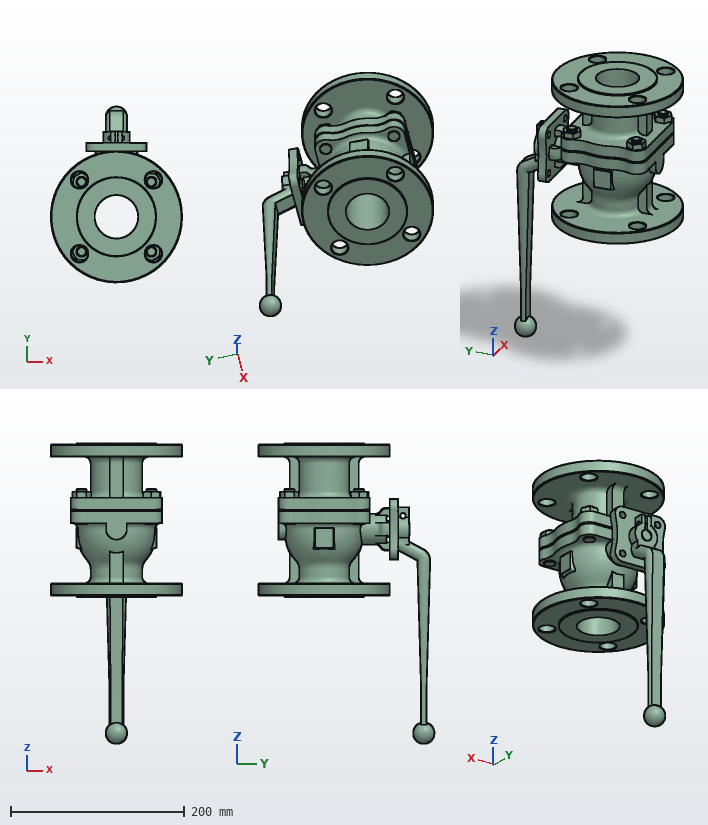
import cadquery as cq
import math


overall_height = 347.5
face_to_face = 178.0
top_z = 99.5
bottom_z = top_z - face_to_face
bore_diameter = 50.0

flange_diameter = 152.0
flange_thickness = 16.0
flange_edge_chamfer = 1.0
raised_face_diameter = 92.0
raised_face_height = 1.6
raised_face_chamfer = 0.7
flange_hole_diameter = 19.0
flange_hole_chamfer = 0.75
flange_bolt_circle = 120.65
flange_hole_count = 4

pipe_diameter = 60.0
pipe_radius = pipe_diameter / 2
pipe_fillet = 7.0
rib_width = 16.0
rib_reach = 40.0

joint_half = 52.8
joint_corner_radius = 12.5
joint_blend_radius = 30.0
joint_thickness = 13.75
joint_gap = 2.0
cap_length = 63.0
cap_joint_top = top_z - cap_length
gap_top = cap_joint_top - joint_thickness
body_joint_top = gap_top - joint_gap
body_joint_bottom = body_joint_top - joint_thickness

bolt_diameter = 12.0
bolt_offset = joint_half - joint_corner_radius
bolt_projection = 10.0
nut_height = 7.0
nut_across_corners = 22.0
nut_chamfer = 1.0
bolt_end_diameter = 13.5
bolt_end_projection = 1.5

shell_radius = 45.4
shell_centre_z = -5.8
shell_blend_radius = 13.5
shell_top_fillet = 6.0

pad_reach = 46.4
pad_width = 21.0
pad_height = 22.5
pad_centre_z = -10.0
pad_corner_radius = 2.0
pad_depth = 10.0
pad_draft = 19.0
tab_radius = 12.0

stem_neck_diameter = 36.0
stem_neck_end_y = 72.0
stem_diameter = 19.0
stem_end_diameter = 13.5
stem_end_y = 99.0
plate_half = 35.0
plate_corner_radius = 10.5
plate_blend_radius = 90.0
plate_start_y = 75.5
plate_thickness = 10.0
plate_end_y = plate_start_y + plate_thickness
plate_hole_diameter = 8.0
plate_hole_offset = plate_half - plate_corner_radius

web_width = 15.0
web_outer_radius = 24.7
web_inner_radius = 16.7
web_length = 15.7
web_flat_length = 5.0

hub_radius = 15.5
hub_length = 12.5
ear_half_width = 6.7
ear_top_z = 25.4
hub_skirt_half_width = 12.0
hub_skirt_depth = 18.0
clamp_slit_width = 3.2
clamp_hole_diameter = 6.2
clamp_hole_y = 91.0
clamp_hole_z = 15.5
arm_y = 115.0
arm_width = 24.8
arm_flat_width = 15.8
arm_thickness = 15.0
arm_tilt = 28.0
arm_top_z = -36.3
bar_width = 16.4
bar_flat_width = 13.2
bar_thickness = 6.5
bar_top_z = -186.0
knob_diameter = 25.0
lever_drop = overall_height - top_z
knob_z = knob_diameter / 2 - lever_drop


def cylinder_z(diameter, z_low, z_high):
    """Round bar along Z on the bore axis."""
    return cq.Workplane("XY").workplane(offset=z_low).circle(diameter / 2).extrude(z_high - z_low)


def cylinder_y(diameter, y_start, y_end):
    """Round bar along Y on the stem axis."""
    plane = cq.Workplane("XZ", origin=(0, y_start, 0))
    return plane.circle(diameter / 2).extrude(y_start - y_end)


def joint_side():
    """Arcs up the +X side of a joint flange: a round belly about the bore blends into both lobes."""
    corner = joint_half - joint_corner_radius
    lobe_distance = corner * math.sqrt(2)
    belly_reach = joint_half + joint_blend_radius
    lobe_reach = joint_corner_radius + joint_blend_radius
    cosine = (belly_reach**2 + lobe_distance**2 - lobe_reach**2) / (2 * belly_reach * lobe_distance)
    blend_angle = math.pi / 4 - math.acos(cosine)
    blend_x = belly_reach * math.cos(blend_angle)
    blend_y = belly_reach * math.sin(blend_angle)
    belly_x = joint_half * math.cos(blend_angle)
    belly_y = joint_half * math.sin(blend_angle)
    lobe_share = joint_corner_radius / lobe_reach
    lobe_x = corner + lobe_share * (blend_x - corner)
    lobe_y = corner + lobe_share * (blend_y - corner)
    middle_angle = (math.atan2(belly_y - blend_y, blend_x - belly_x)
                    + math.atan2(lobe_y - blend_y, blend_x - lobe_x)) / 2
    middle_x = blend_x - joint_blend_radius * math.cos(middle_angle)
    middle_y = blend_y + joint_blend_radius * math.sin(middle_angle)
    return [
        (lobe_x, -lobe_y),
        (middle_x, -middle_y), (belly_x, -belly_y),
        (joint_half, 0), (belly_x, belly_y),
        (middle_x, middle_y), (lobe_x, lobe_y),
    ]


def plate_side():
    """Single hollow arc up the +X side of the actuator plate, tangent to both lobes."""
    reach = plate_corner_radius + plate_blend_radius
    blend_x = plate_hole_offset + math.sqrt(reach**2 - plate_hole_offset**2)
    lobe_share = plate_corner_radius / reach
    lobe_x = plate_hole_offset + lobe_share * (blend_x - plate_hole_offset)
    lobe_y = plate_hole_offset * (1 - lobe_share)
    return [(lobe_x, -lobe_y), (blend_x - plate_blend_radius, 0), (lobe_x, lobe_y)]


def lobed_outline(plane, half, corner_radius, side):
    """Square outline with round corners; side lists the arc points up its +X side."""
    corner = half - corner_radius
    diagonal = corner + corner_radius * math.sqrt(0.5)
    outline = plane.moveTo(-corner, -half)
    for turn in (1, -1):
        outline = outline.lineTo(turn * corner, -turn * half)
        arc_points = [(diagonal, -diagonal), *side, (diagonal, diagonal), (corner, half)]
        turned = [(turn * x, turn * y) for x, y in arc_points]
        for middle, end in zip(turned[0::2], turned[1::2]):
            outline = outline.threePointArc(middle, end)
    return outline.close()


def pipe_flange(end_z, inward):
    """Drilled flange with a raised face; inward is the Z sign pointing from the face to the valve."""
    rim_z = end_z + inward * raised_face_height
    back_z = end_z + inward * flange_thickness
    outer_side = ">Z" if inward < 0 else "<Z"
    disc = cylinder_z(flange_diameter, min(rim_z, back_z), max(rim_z, back_z))
    disc = disc.edges("%CIRCLE").chamfer(flange_edge_chamfer)
    holes = (
        cq.Workplane("XY").workplane(offset=min(rim_z, back_z))
        .polarArray(flange_bolt_circle / 2, 45, 360, flange_hole_count)
        .circle(flange_hole_diameter / 2).extrude(flange_thickness - raised_face_height)
    )
    hole_rims = cq.selectors.RadiusNthSelector(0)
    disc = disc.cut(holes).edges("%CIRCLE").edges(hole_rims).chamfer(flange_hole_chamfer)
    raised_face = cylinder_z(raised_face_diameter, min(end_z, rim_z), max(end_z, rim_z))
    raised_face = raised_face.faces(outer_side).chamfer(raised_face_chamfer)
    return disc.union(raised_face)


def flared_rib(flange_z, inward, root_z):
    """Flat rib across the bore axis, flaring out onto the pipe flange at flange_z."""
    flare_z = flange_z + inward * pipe_fillet
    flare_y = rib_reach + pipe_fillet
    quarter = pipe_fillet * (1 - math.sqrt(0.5))
    arc_y = rib_reach + quarter
    arc_z = flange_z + inward * quarter
    return (
        cq.Workplane("YZ", origin=(-rib_width / 2, 0, 0))
        .moveTo(-flare_y, flange_z).lineTo(flare_y, flange_z)
        .threePointArc((arc_y, arc_z), (rib_reach, flare_z))
        .lineTo(rib_reach, root_z).lineTo(-rib_reach, root_z).lineTo(-rib_reach, flare_z)
        .threePointArc((-arc_y, arc_z), (-flare_y, flange_z)).close()
        .extrude(rib_width)
    )


def cap_pipe():
    """Straight pipe of the cap, filleted onto both of its flanges."""
    high_z = top_z - flange_thickness
    low_z = cap_joint_top
    foot = pipe_radius + pipe_fillet
    quarter = pipe_fillet * (1 - math.sqrt(0.5))
    return (
        cq.Workplane("XZ").moveTo(0, low_z).lineTo(foot, low_z)
        .threePointArc((pipe_radius + quarter, low_z + quarter), (pipe_radius, low_z + pipe_fillet))
        .lineTo(pipe_radius, high_z - pipe_fillet)
        .threePointArc((pipe_radius + quarter, high_z - quarter), (foot, high_z))
        .lineTo(0, high_z).close()
        .revolve(360, (0, 0, 0), (0, 1, 0))
    )


def body_shell():
    """Round shell around the ball, from the joint register down to the lower pipe flange."""
    low_z = bottom_z + flange_thickness
    foot = pipe_radius + pipe_fillet
    quarter = pipe_fillet * (1 - math.sqrt(0.5))
    top_quarter = shell_top_fillet * (1 - math.sqrt(0.5))
    blend_x = pipe_radius + shell_blend_radius
    touch_angle = math.acos(blend_x / (shell_radius + shell_blend_radius))
    blend_z = shell_centre_z - (shell_radius + shell_blend_radius) * math.sin(touch_angle)
    half_angle = touch_angle / 2

    def on_shell(angle):
        return (shell_radius * math.cos(angle), shell_centre_z - shell_radius * math.sin(angle))

    blend_mid = (blend_x - shell_blend_radius * math.cos(half_angle),
                 blend_z + shell_blend_radius * math.sin(half_angle))
    return (
        cq.Workplane("XZ").moveTo(0, low_z).lineTo(foot, low_z)
        .threePointArc((pipe_radius + quarter, low_z + quarter), (pipe_radius, low_z + pipe_fillet))
        .lineTo(pipe_radius, blend_z)
        .threePointArc(blend_mid, on_shell(touch_angle))
        .threePointArc(on_shell(half_angle), on_shell(0))
        .lineTo(shell_radius, body_joint_bottom - shell_top_fillet)
        .threePointArc((shell_radius + top_quarter, body_joint_bottom - top_quarter),
                       (shell_radius + shell_top_fillet, body_joint_bottom))
        .lineTo(shell_radius, body_joint_bottom)
        .lineTo(shell_radius, gap_top).lineTo(0, gap_top).close()
        .revolve(360, (0, 0, 0), (0, 1, 0))
    )


def joint_flange(z_low):
    """One of the two lobed plates bolted together around the body."""
    plane = cq.Workplane("XY").workplane(offset=z_low)
    outline = lobed_outline(plane, joint_half, joint_corner_radius, joint_side())
    return outline.extrude(joint_thickness)


def joint_bolt(turn):
    """Bolt through both joint flanges with a hexagon nut, placed at a turn about the bore axis."""
    shank_low = body_joint_bottom - bolt_end_projection
    end = cylinder_z(bolt_end_diameter, shank_low, body_joint_bottom)
    shank = cylinder_z(bolt_diameter, body_joint_bottom, cap_joint_top + bolt_projection)
    shank = shank.faces(">Z").chamfer(nut_chamfer)
    nut = (
        cq.Workplane("XY").workplane(offset=cap_joint_top)
        .polygon(6, nut_across_corners).extrude(nut_height)
    )
    nut_round = cylinder_z(nut_across_corners, cap_joint_top, cap_joint_top + nut_height)
    nut = nut.intersect(nut_round.faces(">Z").chamfer(nut_chamfer))
    bolt = end.union(shank).union(nut).translate((-bolt_offset, -bolt_offset, 0))
    return bolt.rotate((0, 0, 0), (0, 0, 1), turn)


def side_pads():
    """Pair of raised rectangular pads on the X sides of the shell, with drafted flanks."""
    spread = 2 * pad_depth * math.tan(math.radians(pad_draft))
    pad = (
        cq.Workplane("YZ", origin=(pad_reach - pad_depth, 0, pad_centre_z))
        .rect(pad_width + spread, pad_height + spread).extrude(pad_depth, taper=pad_draft)
        .edges("not(#X or |Y or |Z)").fillet(pad_corner_radius)
    )
    return pad.union(pad.mirror("YZ"))


def front_tab():
    """Round-ended tab hanging from the body joint flange, flush with its -Y face."""
    rounded_end = cylinder_y(2 * tab_radius, -joint_half, 0)
    upper = (
        cq.Workplane("XY").box(2 * tab_radius, joint_half, body_joint_top, centered=(True, False, False))
        .translate((0, -joint_half, 0))
    )
    return rounded_end.union(upper)


def plate_webs():
    """Four webs spreading from the stem neck to the back of the actuator plate."""
    neck_radius = stem_neck_diameter / 2
    web_start_y = plate_start_y - web_length
    flat_start_y = plate_start_y - web_flat_length
    bend_y = (web_start_y + flat_start_y) / 2
    bend_radius = (neck_radius + web_outer_radius) / 2
    ring = (
        cq.Workplane("XY").moveTo(web_inner_radius, web_start_y).lineTo(neck_radius, web_start_y)
        .spline([(bend_radius, bend_y), (web_outer_radius, flat_start_y)],
                tangents=[(0, 1), (0, 1)], includeCurrent=True)
        .lineTo(web_outer_radius, plate_start_y).lineTo(web_inner_radius, plate_start_y).close()
        .revolve(360, (0, 0, 0), (0, 1, 0))
    )
    web_middle = (0, plate_start_y - web_length / 2, 0)
    span = 2 * web_outer_radius
    cross = cq.Workplane("XY").box(span, web_length, web_width)
    cross = cross.union(cq.Workplane("XY").box(web_width, web_length, span))
    return ring.intersect(cross.translate(web_middle))


def actuator_plate():
    """Lobed mounting plate across the stem, with a hole in each corner."""
    plane = cq.Workplane("XZ", origin=(0, plate_end_y, 0))
    plate = lobed_outline(plane, plate_half, plate_corner_radius, plate_side())
    plate = plate.extrude(plate_thickness)
    holes = (
        cq.Workplane("XZ", origin=(0, plate_end_y, 0))
        .rarray(2 * plate_hole_offset, 2 * plate_hole_offset, 2, 2)
        .circle(plate_hole_diameter / 2).extrude(plate_thickness)
    )
    return plate.cut(holes)


def make_valve():
    """Body, cap, joint bolts, stem and actuator plate as one solid."""
    top_flange_back = top_z - flange_thickness
    bottom_flange_back = bottom_z + flange_thickness
    valve = body_shell().union(cap_pipe())
    valve = valve.union(pipe_flange(top_z, -1)).union(pipe_flange(bottom_z, 1))
    valve = valve.union(flared_rib(top_flange_back, -1, cap_joint_top))
    valve = valve.union(flared_rib(bottom_flange_back, 1, shell_centre_z))
    valve = valve.union(joint_flange(gap_top)).union(joint_flange(body_joint_bottom))
    for turn in (0, 90, 180, 270):
        valve = valve.union(joint_bolt(turn))
    valve = valve.union(side_pads()).union(front_tab())
    valve = valve.union(cylinder_y(stem_neck_diameter, 0, stem_neck_end_y))
    valve = valve.union(cylinder_y(stem_diameter, 0, plate_start_y))
    valve = valve.union(plate_webs()).union(actuator_plate())
    valve = valve.union(cylinder_y(stem_end_diameter, plate_start_y, stem_end_y))
    return valve.cut(cylinder_z(bore_diameter, bottom_z, top_z))


def arm_section(plane, width, flat_width, thickness):
    """Lever section: flat broad faces joined by bulging sides."""
    flat = flat_width / 2
    deep = thickness / 2
    return (
        plane.moveTo(-flat, -deep).lineTo(flat, -deep)
        .threePointArc((width / 2, 0), (flat, deep))
        .lineTo(-flat, deep)
        .threePointArc((-width / 2, 0), (-flat, -deep)).close()
    )


def lever_hub():
    """Clamp hub with a pair of ears on top and a skirt running down into the arm."""
    hub_end_y = plate_end_y + hub_length
    hub = cylinder_y(2 * hub_radius, plate_end_y, hub_end_y)
    ears = (
        cq.Workplane("XY").box(2 * ear_half_width, hub_length, ear_top_z, centered=(True, False, False))
        .translate((0, plate_end_y, 0))
    )
    skirt = (
        cq.Workplane("XY")
        .box(2 * hub_skirt_half_width, hub_length, hub_skirt_depth, centered=(True, False, False))
        .translate((0, plate_end_y, -hub_skirt_depth))
    )
    return hub.union(ears).union(skirt)


def lever_arm():
    """Tilted arm from the hub, elbow, tapered handle, flat bar and ball knob."""
    tilt = math.radians(arm_tilt)
    half_thickness = arm_thickness / 2
    pivot_y = arm_y - half_thickness

    elbow_plane = cq.Workplane("XY", origin=(0, arm_y, arm_top_z))
    elbow = arm_section(elbow_plane, arm_width, arm_flat_width, arm_thickness)
    elbow = elbow.revolve(90 - arm_tilt, (0, -half_thickness, 0), (1, -half_thickness, 0))

    along = cq.Vector(0, -math.cos(tilt), math.sin(tilt))
    tilted_start = cq.Vector(0, pivot_y + half_thickness * math.sin(tilt),
                             arm_top_z + half_thickness * math.cos(tilt))
    tilted_length = (arm_y - plate_start_y) / math.cos(tilt)
    tilted_plane = cq.Workplane(cq.Plane(tilted_start, cq.Vector(1, 0, 0), along))
    tilted = arm_section(tilted_plane, arm_width, arm_flat_width, arm_thickness).extrude(tilted_length)
    hub_side = (
        cq.Workplane("XY").box(2 * arm_width, arm_y, lever_drop, centered=(True, False, False))
        .translate((0, plate_end_y, -lever_drop))
    )
    tilted = tilted.intersect(hub_side)

    taper_plane = cq.Workplane("XY", origin=(0, arm_y, arm_top_z))
    taper = arm_section(taper_plane, arm_width, arm_flat_width, arm_thickness)
    taper = taper.workplane(offset=bar_top_z - arm_top_z)
    taper = arm_section(taper, bar_width, bar_flat_width, bar_thickness).loft(ruled=True)
    bar_plane = cq.Workplane("XY", origin=(0, arm_y, bar_top_z))
    bar = arm_section(bar_plane, bar_width, bar_flat_width, bar_thickness).extrude(knob_z - bar_top_z)
    knob = cq.Workplane("XY").sphere(knob_diameter / 2).translate((0, arm_y, knob_z))
    return tilted.union(elbow).union(taper).union(bar).union(knob)


def make_lever():
    """Hand lever bored for the stem end, with clamp slit and screw hole."""
    lever = lever_hub().union(lever_arm())
    stem_bore = cylinder_y(stem_end_diameter, plate_end_y, arm_y)
    slit = (
        cq.Workplane("XY").box(clamp_slit_width, hub_length, ear_top_z, centered=(True, False, False))
        .translate((0, plate_end_y, 0))
    )
    clamp_hole = (
        cq.Workplane("YZ", origin=(-hub_radius, clamp_hole_y, clamp_hole_z))
        .circle(clamp_hole_diameter / 2).extrude(2 * hub_radius)
    )
    return lever.cut(stem_bore).cut(slit).cut(clamp_hole)


valve = make_valve()
lever = make_lever()
result = cq.Compound.makeCompound([valve.val(), lever.val()])